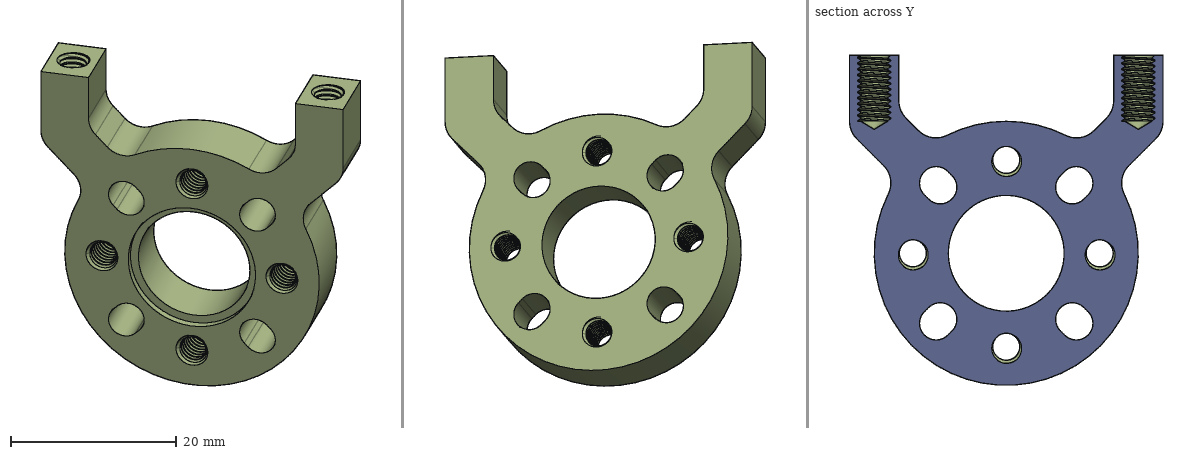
import cadquery as cq
import math

thickness = 8.0
ring_radius = 16.0
bore_diameter = 14.0
counterbore_diameter = 16.0
counterbore_depth = 1.0

overall_width = 38.0
arm_top = 24.0
arm_width = 6.0
bend_outer_radius = 3.0
bend_inner_radius = 3.0
root_radius = 3.0

thread_major = 4.0
thread_pitch = 0.7
thread_depth = 5 / 8 * math.sqrt(3) / 2 * thread_pitch
thread_root_flat = thread_pitch / 8
thread_minor = thread_major - 2 * thread_depth
spare_turns = 2
thread_flank_angle = math.radians(30)
ring_tap_circle_radius = 8.0 * math.sqrt(2)
arm_hole_depth = 8.0
drill_point_angle = math.radians(118)

slot_width = 4.0
slot_inner_radius = ring_tap_circle_radius
slot_outer_radius = 12.0

half_width = overall_width / 2
inner_side = half_width - arm_width
arm_center_x = half_width - arm_width / 2
slope_offset = arm_width / math.sqrt(2)


def front_plane():
    """Workplane on the front face: local Y is part Z, negative extrusion goes into the part."""
    return cq.Workplane("XZ")


def arm_outline(side):
    """Sharp-cornered arm, bent 45 degrees, starting inside the ring."""
    start = ring_radius / 2
    points = [
        (start, start - slope_offset),
        (half_width, half_width - slope_offset),
        (half_width, arm_top),
        (inner_side, arm_top),
        (inner_side, inner_side + slope_offset),
        (start - slope_offset, start),
    ]
    return front_plane().polyline([(side * x, z) for x, z in points]).close()


def round_edge(body, x, z, radius):
    """Fillet the Y-parallel edge closest to (x, z)."""
    closest = cq.selectors.NearestToPointSelector((x, thickness / 2, z))
    return body.edges("|Y").edges(closest).fillet(radius)


def make_body():
    """Ring and two arms, with rounded bends and roots."""
    body = front_plane().circle(ring_radius).extrude(-thickness)
    root_angle = math.asin(arm_width / 2 / ring_radius)
    for side in (1, -1):
        body = body.union(arm_outline(side).extrude(-thickness))
        body = round_edge(body, side * half_width, half_width - slope_offset, bend_outer_radius)
        body = round_edge(body, side * inner_side, inner_side + slope_offset, bend_inner_radius)
        for turn in (root_angle, -root_angle):
            angle = math.pi / 4 + turn
            root_x = side * ring_radius * math.cos(angle)
            root_z = ring_radius * math.sin(angle)
            body = round_edge(body, root_x, root_z, root_radius)
    return body


def cut_bore(body):
    """Through bore with a shallow counterbore in the front face."""
    bore = front_plane().circle(bore_diameter / 2).extrude(-thickness)
    counterbore = front_plane().circle(counterbore_diameter / 2).extrude(-counterbore_depth)
    return body.cut(bore).cut(counterbore)


def cut_slots(body):
    """Four through slots on the diagonals, each pointing at the bore axis."""
    slot_center = (slot_inner_radius + slot_outer_radius) / 2
    slot_length = slot_outer_radius - slot_inner_radius + slot_width
    slot = front_plane().center(slot_center, 0).slot2D(slot_length, slot_width).extrude(-thickness)
    for angle in (45, 135, 225, 315):
        body = body.cut(slot.rotate((0, 0, 0), (0, 1, 0), angle))
    return body


def thread_tap(length):
    """Solid with an M4 thread on its outside, around Z, from Z = 0 down to -length.

    It is made one turn at a time from helical faces, closed at both ends by a helicoid
    and a radial step, and then trimmed flat to the wanted length.
    """
    crest = thread_minor / 2
    root = thread_major / 2
    half_root_flat = thread_root_flat / 2
    half_mouth = half_root_flat + thread_depth * math.tan(thread_flank_angle)
    groove = [
        (crest, -half_mouth),
        (root, -half_root_flat),
        (root, half_root_flat),
        (crest, half_mouth),
        (crest, thread_pitch - half_mouth),
    ]
    turns = math.ceil(length / thread_pitch) + 2 * spare_turns
    bottom = -length - spare_turns * thread_pitch

    def helix(point, z):
        radius, rise = point
        turn = cq.Wire.makeHelix(thread_pitch, thread_pitch, radius, cq.Vector(0, 0, z + rise))
        return turn.Edges()[0]

    faces = []
    for turn in range(turns):
        z = bottom + turn * thread_pitch
        for lower, upper in zip(groove, groove[1:]):
            faces.append(cq.Face.makeRuledSurface(helix(lower, z), helix(upper, z)))
    for z in (bottom, bottom + turns * thread_pitch):
        axis_low = cq.Vector(0, 0, z - half_mouth)
        axis_high = axis_low + cq.Vector(0, 0, thread_pitch)
        axis = cq.Edge.makeLine(axis_low, axis_high)
        step = [axis_low] + [cq.Vector(radius, 0, z + rise) for radius, rise in groove] + [axis_high]
        faces.append(cq.Face.makeRuledSurface(helix(groove[0], z), axis))
        faces.append(cq.Face.makeFromWires(cq.Wire.makePolygon(step, close=True)))
    tap = cq.Workplane(obj=cq.Solid.makeSolid(cq.Shell.makeShell(faces)))
    trim = cq.Workplane("XY").circle(thread_major).extrude(-length)
    return trim.intersect(tap)


def cone_down(top_radius, bottom_radius, height, top_z):
    """Cone or frustum around Z, reaching down from Z = top_z."""
    top = cq.Vector(0, 0, top_z)
    down = cq.Vector(0, 0, -1)
    return cq.Workplane(obj=cq.Solid.makeCone(top_radius, bottom_radius, height, top, down))


def drill_point(depth):
    """Cone left by the drill below a blind hole along Z, with its base at Z = -depth."""
    radius = thread_minor / 2
    height = radius / math.tan(drill_point_angle / 2)
    return cone_down(radius, 0, height, -depth)


def mouth_chamfer():
    """45 degree cone opening a tapped hole along Z to its major diameter at Z = 0."""
    major = thread_major / 2
    minor = thread_minor / 2
    return cone_down(major, minor, major - minor, 0)


def cut_ring_taps(body):
    """Four tapped through holes around the bore."""
    tap = thread_tap(thickness).rotate((0, 0, 0), (1, 0, 0), 90)
    chamfer = mouth_chamfer().rotate((0, 0, 0), (1, 0, 0), 90)
    for angle in (0, 90, 180, 270):
        x = ring_tap_circle_radius * math.cos(math.radians(angle))
        z = ring_tap_circle_radius * math.sin(math.radians(angle))
        body = body.cut(tap.translate((x, 0, z))).cut(chamfer.translate((x, 0, z)))
    return body


def cut_arm_taps(body):
    """One tapped blind hole, with a conical bottom, down into the top of each arm."""
    tap = thread_tap(arm_hole_depth)
    point = drill_point(arm_hole_depth)
    chamfer = mouth_chamfer()
    for x in (-arm_center_x, arm_center_x):
        mouth = (x, thickness / 2, arm_top)
        body = body.cut(tap.translate(mouth)).cut(point.translate(mouth)).cut(chamfer.translate(mouth))
    return body


def build():
    body = make_body()
    body = cut_bore(body)
    body = cut_slots(body)
    body = cut_ring_taps(body)
    body = cut_arm_taps(body)
    return cq.Workplane(obj=body.solids().val())


result = build()